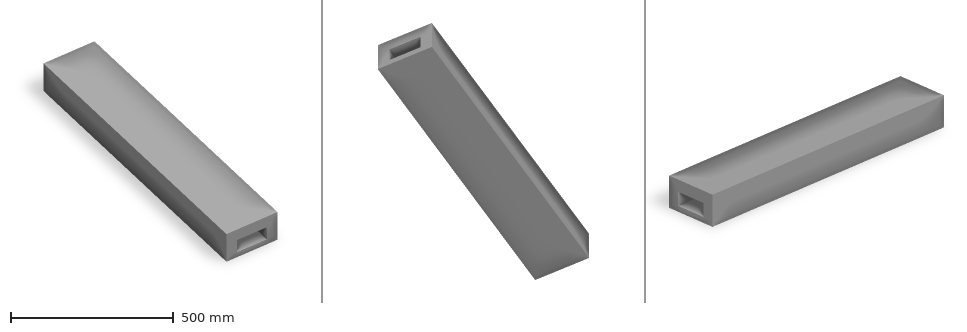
import cadquery as cq

length = 1000.0
width = 190.0
height = 110.0

top_thickness = 30.0
bottom_thickness = 20.0
side_width = 40.0
filler_thickness = 12.0

side_height = height - top_thickness - bottom_thickness
cavity_width = width - 2 * side_width
base_level = -height / 2
side_base_level = base_level + bottom_thickness
top_base_level = side_base_level + side_height


def board(board_width, thickness, center_y, bottom_level):
    """Full-length rectangular board standing on bottom_level."""
    return (
        cq.Workplane("XY", origin=(0, center_y, bottom_level))
        .box(length, board_width, thickness, centered=(True, True, False))
    )


def side_board(side):
    """Side wall; side is -1 for the -Y wall and +1 for the +Y wall."""
    center_y = side * (width - side_width) / 2
    return board(side_width, side_height, center_y, side_base_level)


bottom_board = board(width, bottom_thickness, 0, base_level)
top_board = board(width, top_thickness, 0, top_base_level)
side_boards = [side_board(side) for side in (-1, 1)]

filler_board = board(cavity_width, filler_thickness, 0, top_base_level - filler_thickness)

result = cq.Compound.makeCompound([
    bottom_board.val(),
    top_board.val(),
    *[wall.val() for wall in side_boards],
    filler_board.val(),
])